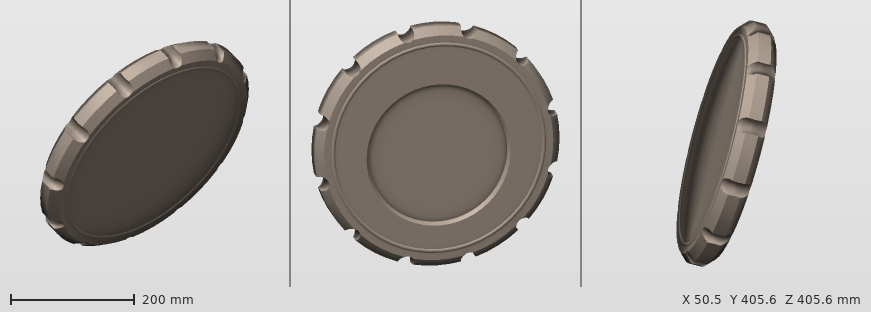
import cadquery as cq

outer_radius = 202.8
body_width = 48.0
rim_width = 21.5
rim_chamfer = (body_width - rim_width) / 2

overall_width = 50.5
bead_inner_radius = 171.0
bead_outer_radius = 177.5
bead_mid_radius = (bead_inner_radius + bead_outer_radius) / 2

notch_count = 12
notch_radius = 12.0
notch_center_radius = 200.7
notch_draft = 3.0

recess_floor_radius = 114.5
recess_chamfer = 5.0
recess_mouth_radius = recess_floor_radius + recess_chamfer
recess_chamfer_angle = 45.0
recess_depth = 8.0
recess_drop = 12.0


def make_wheel():
    """Revolve the half section, drawn as (x, radius), about the X axis."""
    face = body_width / 2
    crest = overall_width / 2
    rim = rim_width / 2
    section = (
        cq.Workplane("XY")
        .moveTo(-face, 0)
        .lineTo(-face, bead_inner_radius)
        .threePointArc((-crest, bead_mid_radius), (-face, bead_outer_radius))
        .lineTo(-face, outer_radius - rim_chamfer)
        .lineTo(-rim, outer_radius)
        .lineTo(rim, outer_radius)
        .lineTo(face, outer_radius - rim_chamfer)
        .lineTo(face, bead_outer_radius)
        .threePointArc((crest, bead_mid_radius), (face, bead_inner_radius))
        .lineTo(face, 0)
        .close()
    )
    return section.revolve(360, (0, 0, 0), (1, 0, 0))


def make_notches():
    """Drafted bars along X, narrowest at the parting plane x = 0."""
    pitch = 360 / notch_count
    bars = cq.Workplane("YZ")
    for length in (overall_width / 2, -overall_width / 2):
        bars = bars.add(
            cq.Workplane("YZ")
            .polarArray(notch_center_radius, pitch / 2, 360, notch_count)
            .circle(notch_radius)
            .extrude(length, taper=-notch_draft)
        )
    return bars.combine()


def make_recess():
    """Straight round pocket with a 45 degree chamfer around its mouth."""
    mouth = cq.Workplane("YZ", origin=(-body_width / 2, 0, -recess_drop))
    pocket = mouth.circle(recess_floor_radius).extrude(recess_depth)
    chamfer = mouth.circle(recess_mouth_radius).extrude(recess_chamfer, taper=recess_chamfer_angle)
    return pocket.union(chamfer)


result = make_wheel().cut(make_notches()).cut(make_recess())